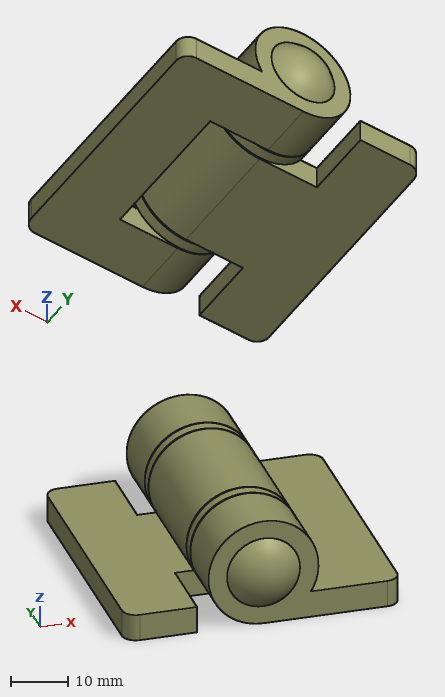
import cadquery as cq

HINGE_WIDTH = 50.0
LEAF_LENGTH = 50.0
PIN_LENGTH = 56.0
BARREL_DIAMETER = 20.0
LEAF_THICKNESS = 5.0
CORNER_RADIUS = 2.5
BARREL_CLEARANCE = 2.1
CENTER_KNUCKLE_LENGTH = 22.95
KNUCKLE_GAP = 2.5
WASHER_CLEARANCE = 0.2
PIN_DIAMETER = 13.3

barrel_radius = BARREL_DIAMETER / 2
axis_height = barrel_radius
half_length = LEAF_LENGTH / 2
plate_inner_x = barrel_radius + BARREL_CLEARANCE
plate_width = HINGE_WIDTH / 2 - plate_inner_x
center_end = CENTER_KNUCKLE_LENGTH / 2
outer_start = center_end + KNUCKLE_GAP
outer_length = half_length - outer_start
outer_middle = (half_length + outer_start) / 2
washer_thickness = KNUCKLE_GAP - 2 * WASHER_CLEARANCE
washer_middle = center_end + KNUCKLE_GAP / 2
dome_height = (PIN_LENGTH - LEAF_LENGTH) / 2


def axial_cylinder(diameter, length, middle_y):
    """Cylinder on the hinge axis, centred at middle_y."""
    return (
        cq.Workplane("XZ", origin=(0, middle_y + length / 2, axis_height))
        .circle(diameter / 2)
        .extrude(length)
    )


def make_leaf(side, knuckles):
    """Leaf on the given X side (-1 or 1) with (length, middle_y) knuckles, bored for the pin."""
    leaf = (
        cq.Workplane("XY")
        .center(side * (plate_inner_x + plate_width / 2), 0)
        .rect(plate_width, LEAF_LENGTH)
        .extrude(LEAF_THICKNESS)
        .edges("|Z")
        .edges(">X" if side > 0 else "<X")
        .fillet(CORNER_RADIUS)
    )
    for length, middle_y in knuckles:
        tab = (
            cq.Workplane("XY")
            .center(side * plate_inner_x / 2, middle_y)
            .rect(plate_inner_x, length)
            .extrude(LEAF_THICKNESS)
        )
        leaf = leaf.union(tab).union(axial_cylinder(BARREL_DIAMETER, length, middle_y))
    return leaf.cut(axial_cylinder(PIN_DIAMETER, LEAF_LENGTH, 0)).clean()


def make_washer(middle_y):
    """Ring around the pin between two knuckles."""
    ring = axial_cylinder(BARREL_DIAMETER, washer_thickness, middle_y)
    return ring.cut(axial_cylinder(PIN_DIAMETER, washer_thickness, middle_y))


def make_pin():
    """Pin with a spherical dome beyond each end of the barrel."""
    return (
        cq.Workplane("XY", origin=(0, 0, axis_height))
        .moveTo(0, -PIN_LENGTH / 2)
        .lineTo(0, PIN_LENGTH / 2)
        .threePointArc(dome_point(0.5), (PIN_DIAMETER / 2, half_length))
        .lineTo(PIN_DIAMETER / 2, -half_length)
        .threePointArc(dome_point(0.5, -1), (0, -PIN_LENGTH / 2))
        .close()
        .revolve(360, (0, 0, 0), (0, 1, 0))
    )


def dome_point(radius_fraction, end=1):
    """Point (radius, Y) on the dome arc at the given end of the pin."""
    pin_radius = PIN_DIAMETER / 2
    sphere_radius = (pin_radius**2 + dome_height**2) / (2 * dome_height)
    radius = radius_fraction * pin_radius
    drop = sphere_radius - (sphere_radius**2 - radius**2) ** 0.5
    return radius, end * (PIN_LENGTH / 2 - drop)


center_leaf = make_leaf(-1, [(CENTER_KNUCKLE_LENGTH, 0)])
outer_leaf = make_leaf(1, [(outer_length, end * outer_middle) for end in (-1, 1)])
washers = [make_washer(end * washer_middle) for end in (-1, 1)]
pin = make_pin()

result = cq.Compound.makeCompound(
    [center_leaf.val(), outer_leaf.val(), pin.val(), *[washer.val() for washer in washers]]
)